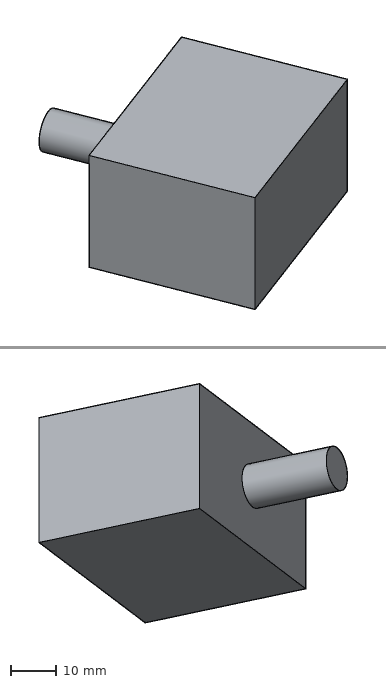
import cadquery as cq

total_length = 61.0
block_width = 50.0
block_height = 30.0

shaft_diameter = 10.0
shaft_length = 21.0

block_length = total_length - shaft_length

block = cq.Workplane("YZ").rect(block_width, block_height).extrude(block_length)

shaft = cq.Workplane("YZ").circle(shaft_diameter / 2).extrude(-shaft_length)

result = block.union(shaft)